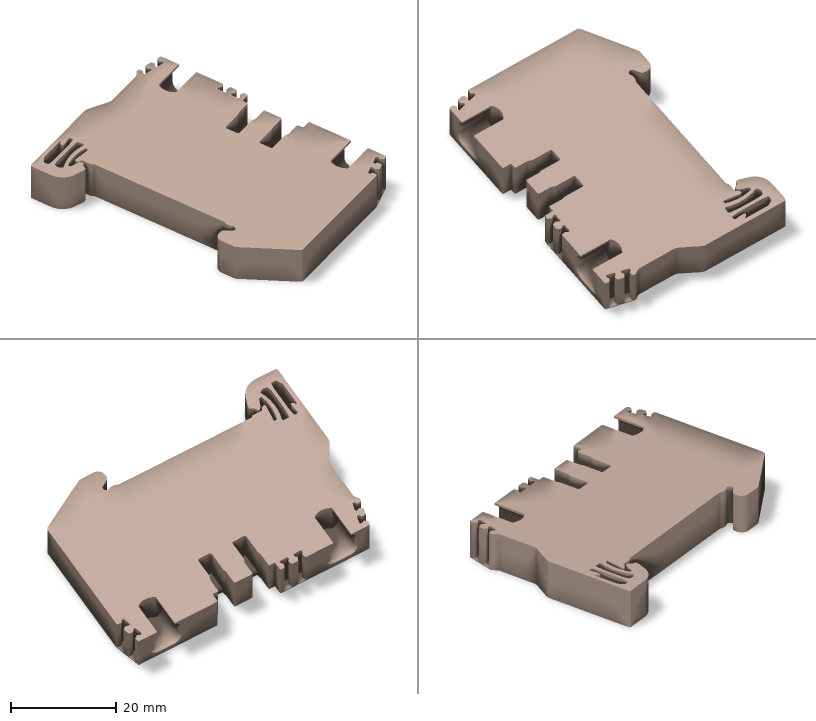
import cadquery as cq
import math

LENGTH = 56.5
HEIGHT = 39.8
THICKNESS = 8.1

FLANK_TILT = 15.0
LEFT_TOP_X = 3.5
LEFT_TIP = (1.95, 33.75)
LEFT_WALL_X = 2.7
LEFT_WALL_TOP_Y = 32.65
LEFT_WALL_BOTTOM_Y = 23.85
LEFT_EDGE_TOP_Y = 19.25
RIGHT_TOP_X = 54.97
RIGHT_EDGE_TOP_Y = HEIGHT - (LENGTH - RIGHT_TOP_X) / math.tan(math.radians(FLANK_TILT))

RAIL_FACE_Y = 7.12
RAIL_LAND_Y = 6.78
CLAW_BOTTOM_Y = 2.3
CLAW_HEEL = (45.4, CLAW_BOTTOM_Y)
RIGHT_EDGE_BOTTOM_Y = 8.6

TOE_CORNER_R = 0.4
TIP_ROOT_R = 1.3
SHOULDER_R = 1.9
CLAW_HEEL_R = 0.8
RECESS_CORNER_R = 0.2
WINDOW_CORNER_R = 0.25

RECESS_LEFT = 23.4
RECESS_RIGHT = 37.3
RECESS_FLOOR_Y = 37.85
SHAFTS = [(24.75, 28.35, 24.95, 28.0), (32.45, 36.0, 32.65, 35.65)]
SHAFT_TAPER_TOP_Y = 34.9
SHAFT_THROAT_Y = 34.0
SHAFT_OPEN_Y = 33.85
SHAFT_BOTTOM_Y = 29.6
SHAFT_CORNER_R = 0.3
MOUTH_CORNER_R = 0.25
SHAFT_SILL_CHAMFER = 0.3
POCKET_FLOOR_Z = 1.2

CHAMBER_CENTRES_X = (9.6, 48.85)
CHAMBER_HALF_WIDTH = 3.4
CHAMBER_BOTTOM_Y = 32.2
CHAMBER_ARCH_RISE = 0.65
CHAMBER_CEILING_Z = 7.65
CHAMBER_CORNER_R = 1.75
CHAMBER_SLOT_WIDTH = 3.92

GROOVE_MOUTH = 1.68
GROOVE_NECK = 1.09
GROOVE_BULB = 1.85
GROOVE_NECK_START = 0.72
GROOVE_NECK_END = 0.9
GROOVE_BULB_START = 1.3
GROOVE_DEPTH = 1.78
GROOVE_FLOOR_Z = 0.5
GROOVE_LIP_Z = 0.25
GROOVE_PITCH = 3.05
TOP_GROOVE_X = 18.55
FLANK_GROOVE_OFFSET = 1.73


def round_corners(solid, points, radius):
    """Fillet the Z-parallel edges closest to the given XY points."""
    edges = cq.Workplane("XY")
    for x, y in points:
        nearest = cq.selectors.NearestToPointSelector((x, y, THICKNESS / 2))
        edges = edges.add(solid.edges("|Z").edges(nearest))
    return solid.newObject(edges.vals()).fillet(radius)


def make_body():
    outline = cq.Workplane("XY").moveTo(LEFT_TOP_X, HEIGHT)
    outline = outline.lineTo(*LEFT_TIP)
    outline = outline.lineTo(LEFT_WALL_X, LEFT_WALL_TOP_Y).lineTo(LEFT_WALL_X, LEFT_WALL_BOTTOM_Y)
    outline = outline.lineTo(0, LEFT_EDGE_TOP_Y).lineTo(0, 0)
    outline = outline.lineTo(4.8, 0).tangentArcPoint((8.4, 2.25), relative=False)
    outline = outline.lineTo(9.3, 4.7).lineTo(9.25, 5.25).lineTo(8.4, 5.67)
    outline = outline.lineTo(8.15, 6.25).lineTo(7.7, 6.4).lineTo(7.2, 5.85)
    outline = outline.lineTo(6.5, 4.1).lineTo(5.9, 4.1)
    outline = outline.threePointArc((5.53, 6.8), (6.05, 10.05))
    outline = outline.lineTo(6.75, 10.05).lineTo(6.2, 6.2).lineTo(6.45, 5.9).lineTo(7.15, 6.2)
    outline = outline.lineTo(7.4, RAIL_LAND_Y).lineTo(9.6, RAIL_LAND_Y).lineTo(9.9, RAIL_FACE_Y)
    outline = outline.lineTo(39.5, RAIL_FACE_Y).lineTo(40.4, RAIL_LAND_Y).lineTo(41.3, RAIL_LAND_Y)
    outline = outline.lineTo(41.6, 6.98).threePointArc((42.55, 6.65), (42.4, 5.95))
    outline = outline.lineTo(41.1, 5.15).threePointArc((40.75, 4.85), (40.6, 4.4))
    outline = outline.lineTo(40.6, 3.9).tangentArcPoint((42.2, CLAW_BOTTOM_Y), relative=False)
    outline = outline.lineTo(*CLAW_HEEL).lineTo(LENGTH, RIGHT_EDGE_BOTTOM_Y)
    outline = outline.lineTo(LENGTH, RIGHT_EDGE_TOP_Y).lineTo(RIGHT_TOP_X, HEIGHT)
    outline = outline.lineTo(RECESS_RIGHT, HEIGHT).lineTo(RECESS_RIGHT, RECESS_FLOOR_Y)
    outline = outline.lineTo(RECESS_LEFT, RECESS_FLOOR_Y).lineTo(RECESS_LEFT, HEIGHT)
    body = outline.close().extrude(THICKNESS)

    body = round_corners(body, [(0, 0)], TOE_CORNER_R)
    body = round_corners(body, [(LEFT_WALL_X, LEFT_WALL_TOP_Y)], TIP_ROOT_R)
    body = round_corners(body, [(LEFT_WALL_X, LEFT_WALL_BOTTOM_Y), (0, LEFT_EDGE_TOP_Y)], SHOULDER_R)
    body = round_corners(body, [(LENGTH, RIGHT_EDGE_BOTTOM_Y), CLAW_HEEL], CLAW_HEEL_R)
    recess_corners = [(x, y) for x in (RECESS_LEFT, RECESS_RIGHT) for y in (HEIGHT, RECESS_FLOOR_Y)]
    return round_corners(body, recess_corners, RECESS_CORNER_R)


def foot_windows():
    """The two through slots that make the foot springy."""
    outer = [
        (1.8, 10.85), (2.7, 10.85), (2.87, 8.9), (2.87, 3.6), (2.7, 2.3), (1.6, 2.3),
        (0.9, 3.6), (0.9, 8.9), (1.25, 8.9), (1.25, 8.53), (1.85, 8.2), (1.97, 8.4), (1.97, 9.4),
    ]
    windows = cq.Workplane("XY").polyline(outer).close().extrude(THICKNESS)
    windows = round_corners(windows, outer[:2], WINDOW_CORNER_R)
    inner_top = [(3.75, 10.8), (5.35, 10.8)]
    inner = cq.Workplane("XY").moveTo(*inner_top[0]).lineTo(*inner_top[1])
    inner = inner.threePointArc((4.78, 6.3), (5.55, 3.2))
    inner = inner.threePointArc((4.7, 2.65), (3.75, 2.95))
    inner = inner.lineTo(3.55, 3.85).lineTo(3.55, 8.45).close().extrude(THICKNESS)
    return windows.union(round_corners(inner, inner_top, WINDOW_CORNER_R))


def bridge_shaft(mouth_left, mouth_right, throat_left, throat_right):
    """Funnel open through the thickness, continued by a blind pocket."""
    funnel = [
        (mouth_left, RECESS_FLOOR_Y), (mouth_left, SHAFT_TAPER_TOP_Y),
        (throat_left, SHAFT_THROAT_Y), (throat_left, SHAFT_OPEN_Y),
        (throat_right, SHAFT_OPEN_Y), (throat_right, SHAFT_THROAT_Y),
        (mouth_right, SHAFT_TAPER_TOP_Y), (mouth_right, RECESS_FLOOR_Y),
    ]
    opening = cq.Workplane("XY").polyline(funnel).close().extrude(THICKNESS)
    pocket = cq.Workplane("XY").box(
        throat_right - throat_left, SHAFT_OPEN_Y - SHAFT_BOTTOM_Y, THICKNESS - POCKET_FLOOR_Z, centered=False
    )
    pocket = pocket.edges("|Z and <Y").fillet(SHAFT_CORNER_R)
    cutter = opening.union(pocket.translate((throat_left, SHAFT_BOTTOM_Y, POCKET_FLOOR_Z)))
    sill = [
        (SHAFT_OPEN_Y, POCKET_FLOOR_Z), (SHAFT_OPEN_Y - SHAFT_SILL_CHAMFER, POCKET_FLOOR_Z),
        (SHAFT_OPEN_Y, POCKET_FLOOR_Z - SHAFT_SILL_CHAMFER),
    ]
    bevel = cq.Workplane("YZ").polyline(sill).close().extrude(throat_right - throat_left)
    return cutter.union(bevel.translate((throat_left, 0, 0)))


def conductor_chamber(centre_x):
    """Round-cornered chamber with an arched end, plus its slot to the upper face."""
    half_slot = CHAMBER_SLOT_WIDTH / 2
    shoulder_y = CHAMBER_BOTTOM_Y + CHAMBER_ARCH_RISE
    left = centre_x - CHAMBER_HALF_WIDTH
    right = centre_x + CHAMBER_HALF_WIDTH
    plan = cq.Workplane("XY").moveTo(left, HEIGHT).lineTo(left, shoulder_y)
    plan = plan.lineTo(centre_x - half_slot, shoulder_y)
    plan = plan.threePointArc((centre_x, CHAMBER_BOTTOM_Y), (centre_x + half_slot, shoulder_y))
    plan = plan.lineTo(right, shoulder_y).lineTo(right, HEIGHT).close().extrude(THICKNESS)

    length = HEIGHT - CHAMBER_BOTTOM_Y
    middle_y = (HEIGHT + CHAMBER_BOTTOM_Y) / 2
    height = CHAMBER_CEILING_Z - POCKET_FLOOR_Z
    tunnel = cq.Workplane("XY").box(2 * CHAMBER_HALF_WIDTH, length, height)
    tunnel = tunnel.edges("|Y").fillet(CHAMBER_CORNER_R)
    tunnel = tunnel.translate((centre_x, middle_y, (CHAMBER_CEILING_Z + POCKET_FLOOR_Z) / 2))

    slot_height = THICKNESS / 2
    slot = cq.Workplane("XY").box(CHAMBER_SLOT_WIDTH, length, slot_height)
    slot = slot.translate((centre_x, middle_y, THICKNESS - slot_height / 2))
    return tunnel.union(slot).intersect(plan)


def marker_groove():
    """Groove cutter entering a +Y facing edge at the origin and running towards -Y."""
    half_profile = [
        (GROOVE_MOUTH / 2, 0), (GROOVE_NECK / 2, -GROOVE_NECK_START), (GROOVE_NECK / 2, -GROOVE_NECK_END),
        (GROOVE_BULB / 2, -GROOVE_BULB_START), (GROOVE_BULB / 2, -GROOVE_DEPTH),
    ]
    mirrored = [(-x, y) for x, y in reversed(half_profile)]
    profile = cq.Workplane("XY").polyline(half_profile + mirrored).close().extrude(THICKNESS)
    side = [
        (0, GROOVE_LIP_Z), (0, THICKNESS), (-GROOVE_DEPTH, THICKNESS),
        (-GROOVE_DEPTH, GROOVE_FLOOR_Z), (-GROOVE_NECK_START, GROOVE_FLOOR_Z),
    ]
    sweep = cq.Workplane("YZ").polyline(side).close().extrude(GROOVE_BULB / 2, both=True)
    return profile.intersect(sweep)


def cut_marker_grooves(body):
    groove = marker_groove()
    flank_angle = 90 - FLANK_TILT
    lean = math.radians(FLANK_TILT)
    for index in range(2):
        body = body.cut(groove.translate((TOP_GROOVE_X + index * GROOVE_PITCH, HEIGHT, 0)))
        distance = FLANK_GROOVE_OFFSET + index * GROOVE_PITCH
        drop = distance * math.cos(lean)
        shift = distance * math.sin(lean)
        for corner_x, outward in ((LEFT_TOP_X, -1), (RIGHT_TOP_X, 1)):
            turned = groove.rotate((0, 0, 0), (0, 0, 1), -outward * flank_angle)
            body = body.cut(turned.translate((corner_x + outward * shift, HEIGHT - drop, 0)))
    return body


result = make_body().cut(foot_windows())
for shaft in SHAFTS:
    result = result.cut(bridge_shaft(*shaft))
mouth_corners = [(x, RECESS_FLOOR_Y) for shaft in SHAFTS for x in shaft[:2]]
result = round_corners(result, mouth_corners, MOUTH_CORNER_R)
for chamber_x in CHAMBER_CENTRES_X:
    result = result.cut(conductor_chamber(chamber_x))
result = cut_marker_grooves(result)